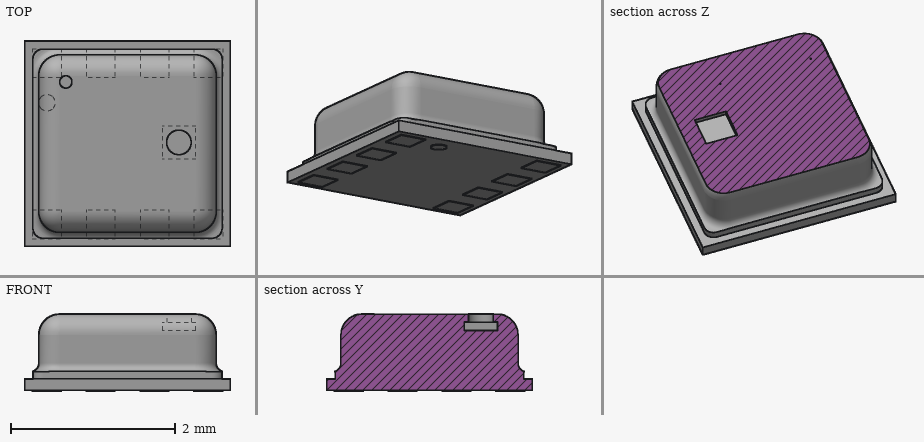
import cadquery as cq

PACKAGE_SIZE = 2.5
PACKAGE_HEIGHT = 0.94

PAD_THICKNESS = 0.01
PAD_SIZE = 0.35
PAD_PITCH = 0.655
PADS_PER_ROW = 4
ROW_OFFSET = 0.98
PIN_MARK_DIAMETER = 0.2
PIN_MARK_Y = 0.5

SUBSTRATE_THICKNESS = 0.14
LID_SIZE = 2.16
LID_ROUND = 0.255
FLANGE_SIZE = 2.3
FLANGE_THICKNESS = 0.09
FLANGE_CORNER_RADIUS = 0.12
COVE_RADIUS = 0.1
FOOT_MARGIN = 0.01

VENT_DIAMETER = 0.3
VENT_X = 0.625
VENT_Y = 0.015
ROOF_THICKNESS = 0.1
CHAMBER_SIZE = 0.4
CHAMBER_HEIGHT = 0.1

DOT_DIAMETER = 0.15
DOT_DEPTH = 0.002
DOT_OFFSET = 0.75

SUBSTRATE_TOP = PAD_THICKNESS + SUBSTRATE_THICKNESS
FLANGE_TOP = SUBSTRATE_TOP + FLANGE_THICKNESS


def square_prism(size, bottom, top):
    """Square block centred on the Z axis between two levels."""
    return cq.Workplane("XY").workplane(offset=bottom).rect(size, size).extrude(top - bottom)


def make_substrate():
    """Flat square board that carries the lid."""
    return square_prism(PACKAGE_SIZE, PAD_THICKNESS, SUBSTRATE_TOP)


def make_lid():
    """Rounded lid whose cove runs down to a flange trimmed close to the wall."""
    body = square_prism(LID_SIZE, SUBSTRATE_TOP, PACKAGE_HEIGHT)
    body = body.edges("|Z").fillet(LID_ROUND)

    wide_flange = square_prism(PACKAGE_SIZE, SUBSTRATE_TOP, FLANGE_TOP)
    body = body.union(wide_flange)
    foot = cq.selectors.BoxSelector(
        (-LID_SIZE / 2, -LID_SIZE / 2, FLANGE_TOP - FOOT_MARGIN),
        (LID_SIZE / 2, LID_SIZE / 2, FLANGE_TOP + FOOT_MARGIN),
        boundingbox=False,
    )
    body = body.edges(foot).fillet(COVE_RADIUS)
    body = body.faces(">Z").edges().fillet(LID_ROUND)

    outline = square_prism(FLANGE_SIZE, SUBSTRATE_TOP, PACKAGE_HEIGHT)
    outline = outline.edges("|Z").fillet(FLANGE_CORNER_RADIUS)
    return body.intersect(outline)


def make_pads():
    """Two rows of square contact pads along the front and back edges."""
    row_spacing = 2 * ROW_OFFSET
    return (
        cq.Workplane("XY")
        .rarray(PAD_PITCH, row_spacing, PADS_PER_ROW, 2)
        .rect(PAD_SIZE, PAD_SIZE)
        .extrude(PAD_THICKNESS)
    )


def make_pin_mark():
    """Round mark beside the corner pad of pin 1."""
    mark_x = -PAD_PITCH * (PADS_PER_ROW - 1) / 2
    return cq.Workplane("XY").center(mark_x, PIN_MARK_Y).circle(PIN_MARK_DIAMETER / 2).extrude(PAD_THICKNESS)


def make_vent():
    """Round vent through the roof opening into a square chamber."""
    roof = cq.Workplane("XY").workplane(offset=PACKAGE_HEIGHT).center(VENT_X, VENT_Y)
    hole = roof.circle(VENT_DIAMETER / 2).extrude(-ROOF_THICKNESS)
    chamber_top = PACKAGE_HEIGHT - ROOF_THICKNESS
    chamber = (
        cq.Workplane("XY")
        .workplane(offset=chamber_top)
        .center(VENT_X, VENT_Y)
        .rect(CHAMBER_SIZE, CHAMBER_SIZE)
        .extrude(-CHAMBER_HEIGHT)
    )
    return hole.union(chamber)


def make_dot():
    """Shallow round recess near the pin-1 corner of the roof."""
    roof = cq.Workplane("XY").workplane(offset=PACKAGE_HEIGHT).center(-DOT_OFFSET, DOT_OFFSET)
    return roof.circle(DOT_DIAMETER / 2).extrude(-DOT_DEPTH)


package = make_substrate().union(make_lid()).union(make_pads()).union(make_pin_mark())
result = package.cut(make_vent()).cut(make_dot())